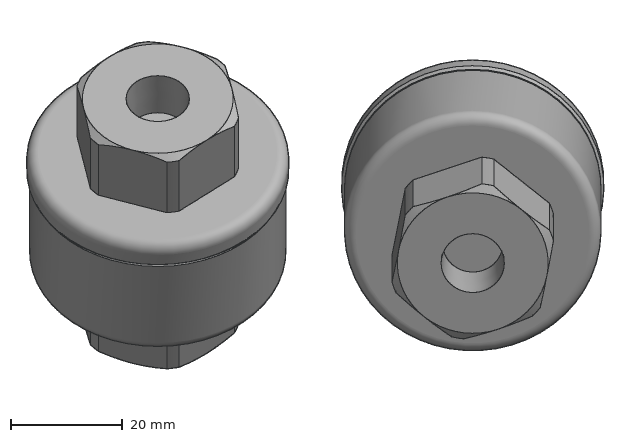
import cadquery as cq
import math

total_height = 55.5

body_diameter = 46.0
flange_diameter = 47.0
flange_height = 5.0
rim_radius = 2.05
seam_chamfer = 0.5

hex_sides = 6
hex_length = 14.0
hex_across_flats = 27.05
hex_across_corners = 30.0
hex_end_angle = 30.0

port_mouth_diameter = 11.3
port_taper = 1 / 16
port_depth = 9.3

body_bottom = hex_length
body_top = total_height - hex_length
seam_z = body_top - flange_height


def make_body():
    """Revolve the body and flange, with bevels where they meet."""
    body_radius = body_diameter / 2
    flange_radius = flange_diameter / 2
    return (
        cq.Workplane("XZ")
        .moveTo(0, body_bottom)
        .lineTo(body_radius - rim_radius, body_bottom)
        .radiusArc((body_radius, body_bottom + rim_radius), -rim_radius)
        .lineTo(body_radius, seam_z - seam_chamfer)
        .lineTo(body_radius - seam_chamfer, seam_z)
        .lineTo(flange_radius - seam_chamfer, seam_z)
        .lineTo(flange_radius, seam_z + seam_chamfer)
        .lineTo(flange_radius, body_top - rim_radius)
        .radiusArc((flange_radius - rim_radius, body_top), -rim_radius)
        .lineTo(0, body_top)
        .close()
        .revolve(360, (0, 0, 0), (0, 1, 0))
    )


def make_hex_bar():
    """Full-height hexagon with turned corners and conical ends."""
    turned_radius = hex_across_corners / 2
    face_radius = hex_across_flats / 2
    cone_height = (turned_radius - face_radius) * math.tan(math.radians(hex_end_angle))
    sharp_corner_diameter = hex_across_flats / math.cos(math.pi / hex_sides)
    hexagon = cq.Workplane("XY").polygon(hex_sides, sharp_corner_diameter).extrude(total_height)
    turned_envelope = (
        cq.Workplane("XZ")
        .moveTo(0, 0)
        .lineTo(face_radius, 0)
        .lineTo(turned_radius, cone_height)
        .lineTo(turned_radius, total_height - cone_height)
        .lineTo(face_radius, total_height)
        .lineTo(0, total_height)
        .close()
        .revolve(360, (0, 0, 0), (0, 1, 0))
    )
    return hexagon.intersect(turned_envelope)


def make_port(mouth_z, inward):
    """Blind tapered hole from mouth_z; inward is +1 for up or -1 for down."""
    mouth_radius = port_mouth_diameter / 2
    floor_radius = mouth_radius - port_taper * port_depth / 2
    cone = cq.Solid.makeCone(
        mouth_radius, floor_radius, port_depth, cq.Vector(0, 0, mouth_z), cq.Vector(0, 0, inward)
    )
    return cq.Workplane(obj=cone)


result = make_body().union(make_hex_bar())
for mouth_z, inward in ((0, 1), (total_height, -1)):
    result = result.cut(make_port(mouth_z, inward))